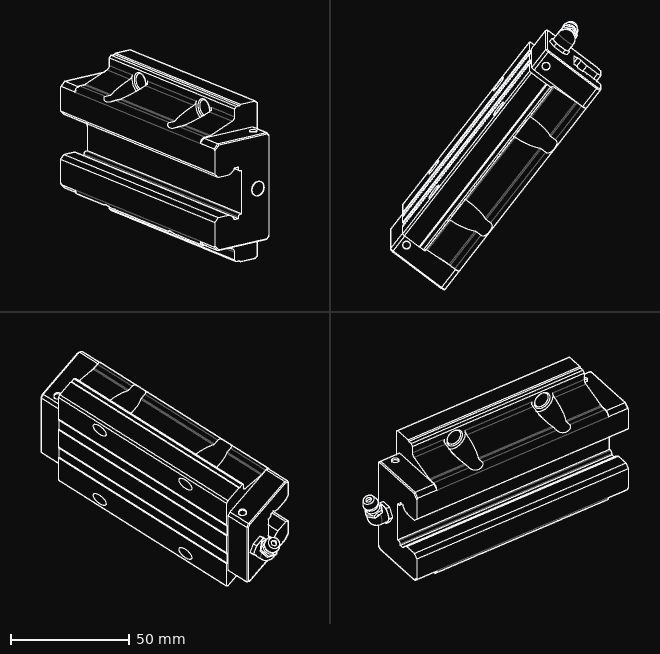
import cadquery as cq
import math


block_length = 88.3
total_height = 30.2
flange_half_width = 35.0
flange_face_y = 18.1
flange_chamfer = 1.0
flange_step_y = 20.9
flange_step = 0.5
flange_edge_chamfer = 1.0
slope_angle = 20.0
slope_start_z = 28.8
block_half_width = 24.1
block_root_radius = 1.8
block_corner_radius = 2.4
relief_inner_z = 7.4
relief_outer_z = 15.5
relief_depth = 0.4

hole_spacing_x = 45.0
hole_spacing_z = 56.9
hole_diameter = 6.9
hole_mouth_diameter = 8.0
spotface_diameter = 11.0

body_length = 108.8
cap_length = (body_length - block_length) / 2
cap_half_width = 23.8
cap_height = 29.1
cap_rail_chamfer = 1.9
cap_back_chamfer = 1.3
cap_end_chamfer = 0.5
side_hole_diameter = 3.3
side_hole_depth = 1.0
side_hole_y = 24.7
side_hole_inset = 4.3

channel_depth = 14.2
channel_floor_half_width = 9.6
channel_mouth_half_width = 8.9
channel_chamfer = 1.8
channel_land_radius = 1.1
race_half_width = 11.5
race_inner_y = 12.4
race_outer_y = 10.5
race_arc_middle = (9.2, 9.9)
race_mouth_y = 7.5

port_y = 22.7
plug_diameter = 6.4
plug_height = 0.4
nipple_hex_flats = 8.1
nipple_hex_length = 1.7
elbow_diameter = 8.1
elbow_offset = 5.1
spout_tilt = 21.0
collar_flats = 7.0
collar_base = 3.4
collar_top = 5.4
collar_chamfer_height = 0.6
ring_diameter = 6.0
ring_top = 7.2
neck_diameter = 2.4
head_base = 8.6
head_top = 11.3
head_base_diameter = 6.8
head_top_diameter = 5.0
bore_diameter = 2.4
bore_depth = 1.2


def mirrored(half, plane):
    return half.union(half.mirror(plane))


def hex_corner_diameter(flats):
    return flats / math.cos(math.radians(30))


def make_block():
    """Flanged steel block, extruded along X."""
    slope_run = (slope_start_z - block_half_width) / math.tan(math.radians(slope_angle))
    slope_end_y = flange_face_y - slope_run
    step_z = flange_half_width - flange_step
    half = (
        cq.Workplane("YZ", origin=(-block_length / 2, 0, 0))
        .polyline([
            (0, 0),
            (total_height, 0),
            (total_height, flange_half_width - flange_chamfer),
            (total_height - flange_chamfer, flange_half_width),
            (flange_step_y + flange_step, flange_half_width),
            (flange_step_y, step_z),
            (flange_face_y + flange_edge_chamfer, step_z),
            (flange_face_y, step_z - flange_edge_chamfer),
            (flange_face_y, slope_start_z),
            (slope_end_y, block_half_width),
            (0, block_half_width),
        ])
        .close()
        .extrude(block_length)
    )
    roots = [(flange_face_y, slope_start_z), (slope_end_y, block_half_width)]
    for y, z in roots:
        half = half.edges(cq.NearestToPointSelector((0, y, z))).fillet(block_root_radius)
    corner = cq.NearestToPointSelector((0, 0, block_half_width))
    half = half.edges(corner).fillet(block_corner_radius)
    relief = cq.Workplane("XY").box(
        block_length, relief_depth, relief_outer_z - relief_inner_z, centered=(True, False, False)
    )
    half = half.cut(relief.translate((0, total_height - relief_depth, relief_inner_z)))
    return mirrored(half, "XY")


def hole_tool(x, z):
    """Spotface, chamfered mouth and through hole, running along +Y from the rail side."""
    mouth_depth = (hole_mouth_diameter - hole_diameter) / 2
    profile = (
        cq.Workplane("XY")
        .polyline([
            (0, 0),
            (spotface_diameter / 2, 0),
            (spotface_diameter / 2, flange_face_y),
            (hole_mouth_diameter / 2, flange_face_y),
            (hole_diameter / 2, flange_face_y + mouth_depth),
            (hole_diameter / 2, total_height),
            (0, total_height),
        ])
        .close()
    )
    return profile.revolve(360, (0, 0, 0), (0, 1, 0)).translate((x, 0, z))


def make_caps():
    """Pair of end caps with a small blind hole in each side."""
    cap = (
        cq.Workplane("XY")
        .box(cap_length, cap_height, 2 * cap_half_width, centered=(False, False, True))
        .translate((block_length / 2, 0, 0))
        .edges("|X and <Y").chamfer(cap_rail_chamfer)
        .edges("|X and >Y").chamfer(cap_back_chamfer)
        .faces(">X").edges("not <Y").chamfer(cap_end_chamfer)
    )
    side_hole = (
        cq.Workplane("XY", origin=(0, 0, cap_half_width - side_hole_depth))
        .center(block_length / 2 + side_hole_inset, side_hole_y)
        .circle(side_hole_diameter / 2)
        .extrude(side_hole_depth)
    )
    return mirrored(cap.cut(mirrored(side_hole, "XY")), "YZ")


def make_channel():
    """Rail channel running the full length, with a ball race in each side."""
    land_end = (race_inner_y, channel_floor_half_width + channel_land_radius)
    half = (
        cq.Workplane("YZ", origin=(-body_length / 2, 0, 0))
        .moveTo(0, 0)
        .lineTo(channel_depth, 0)
        .lineTo(channel_depth, channel_floor_half_width)
        .lineTo(race_inner_y + channel_land_radius, channel_floor_half_width)
        .tangentArcPoint(land_end, relative=False)
        .lineTo(race_inner_y, race_half_width)
        .lineTo(race_outer_y, race_half_width)
        .threePointArc(race_arc_middle, (race_mouth_y, channel_mouth_half_width))
        .lineTo(channel_chamfer, channel_mouth_half_width)
        .lineTo(0, channel_mouth_half_width + channel_chamfer)
        .close()
        .extrude(body_length)
    )
    return mirrored(half, "XY")


def make_spout():
    """Upright spout on Z: hexagonal collar, ring, neck and conical head with a blind bore."""
    collar_corner = hex_corner_diameter(collar_flats)
    base_plane = cq.Workplane("XY", origin=(0, 0, collar_base))
    collar_height = collar_top - collar_base
    chamfer_width = (collar_corner - ring_diameter) / 2
    envelope = (
        base_plane.circle(collar_corner / 2)
        .extrude(collar_height)
        .faces(">Z")
        .chamfer(collar_chamfer_height, chamfer_width)
    )
    collar = base_plane.polygon(6, collar_corner).extrude(collar_height).intersect(envelope)
    tip = (
        cq.Workplane("XZ")
        .polyline([
            (0, 0),
            (ring_diameter / 2, 0),
            (ring_diameter / 2, ring_top),
            (neck_diameter / 2, ring_top),
            (neck_diameter / 2, head_base),
            (head_base_diameter / 2, head_base),
            (head_top_diameter / 2, head_top),
            (bore_diameter / 2, head_top),
            (bore_diameter / 2, head_top - bore_depth),
            (0, head_top - bore_depth),
        ])
        .close()
        .revolve(360, (0, 0, 0), (0, 1, 0))
    )
    return collar.union(tip)


def make_nipple():
    """Angled grease nipple standing on the -X cap."""
    cap_face = cq.Workplane("YZ", origin=(-body_length / 2, port_y, 0))
    base = cap_face.polygon(6, hex_corner_diameter(nipple_hex_flats)).extrude(-nipple_hex_length)
    barrel = cap_face.circle(elbow_diameter / 2).extrude(-elbow_offset)
    elbow = cq.Workplane("XY").sphere(elbow_diameter / 2)
    spout = make_spout().rotate((0, 0, 0), (0, 1, 0), -spout_tilt)
    elbow_centre = (-body_length / 2 - elbow_offset, port_y, 0)
    return base.union(barrel).union(elbow.union(spout).translate(elbow_centre))


def make_plug():
    cap_face = cq.Workplane("YZ", origin=(body_length / 2, port_y, 0))
    return cap_face.circle(plug_diameter / 2).extrude(plug_height)


block = make_block()
for side_x in (-1, 1):
    for side_z in (-1, 1):
        block = block.cut(hole_tool(side_x * hole_spacing_x / 2, side_z * hole_spacing_z / 2))

body = block.union(make_caps()).cut(make_channel())
result = body.union(make_nipple()).union(make_plug())